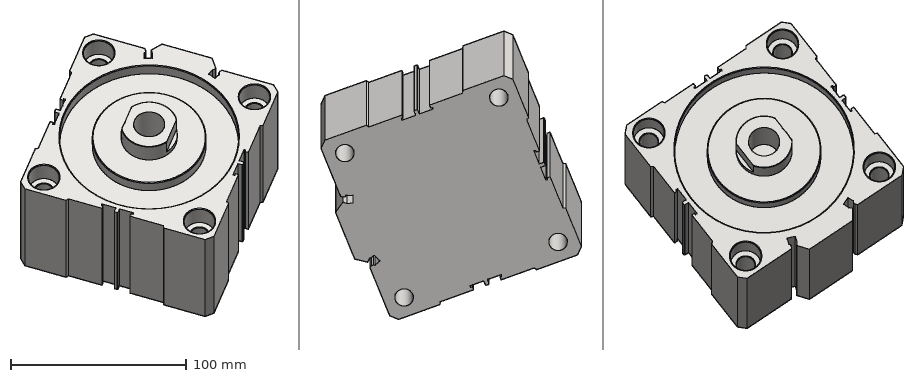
import cadquery as cq

SIDE = 117.0
HALF_SIDE = SIDE / 2
REAR_FACE_Y = 58.8
HOUSING_HEIGHT = 73.0
CORNER_CHAMFER = 4.0

TOTAL_DEPTH = 123.5
RAIL_TOP_Y = TOTAL_DEPTH - HALF_SIDE
RAIL_TOP_HALF_WIDTH = 15.2
RAIL_HALF_WIDTH = 19.6

RAIL_GROOVE_OUTLINE = [
    (RAIL_HALF_WIDTH, REAR_FACE_Y),
    (18.0, 57.0),
    (17.0, 53.7),
    (21.4, 52.0),
    (22.8, 55.6),
    (22.2, 56.2),
    (22.4, 57.5),
    (23.3, REAR_FACE_Y),
]

RELIEF_DEPTH = 1.5
RELIEF_OUTER_HALF_WIDTH = 29.5
RELIEF_INNER_HALF_WIDTH = 28.7

SLOT_DEPTH = 3.0
SLOT_MOUTH_HALF_WIDTH = 8.4
SLOT_UNDERCUT_HALF_WIDTH = 9.5
SLOT_UNDERCUT_HEIGHT = 1.0
SLOT_RIB_WIDTH = 2.2
SLOT_RIB_CHAMFER = 0.4

RECESS_RADIUS = 51.0
RECESS_DEPTH = 7.8
BOSS_RADIUS = 32.5
BOSS_TOP_DROP = 0.5
EDGE_CHAMFER = 0.5

BOLT_OFFSET = 47.0
BOLT_DIAMETER = 10.5
BOLT_CHAMFER = 0.4
COUNTERBORE_DIAMETER = 17.5
COUNTERBORE_DEPTH = 13.0

ROD_DIAMETER = 32.1
ROD_RADIUS = ROD_DIAMETER / 2
ROD_TOP_Z = 85.0
ROD_SEAT_DEPTH = 37.0
ROD_SEAT_Z = HOUSING_HEIGHT - ROD_SEAT_DEPTH
ROD_CHAMFER = 0.2
FLAT_HALF_WIDTH = 13.6
FLAT_BOTTOM_Z = 75.6
ROD_HOLE_DIAMETER = 17.7
ROD_HOLE_DEPTH = 24.7


def block():
    """Nearly square block with chamfered vertical corners."""
    return (
        cq.Workplane("XY")
        .center(0, (REAR_FACE_Y - HALF_SIDE) / 2)
        .rect(SIDE, REAR_FACE_Y + HALF_SIDE)
        .extrude(HOUSING_HEIGHT)
        .edges("|Z")
        .chamfer(CORNER_CHAMFER)
    )


def rail():
    """Dovetail rail standing proud of the +Y face."""
    return (
        cq.Workplane("XY")
        .polyline([
            (-RAIL_HALF_WIDTH, REAR_FACE_Y),
            (-RAIL_TOP_HALF_WIDTH, RAIL_TOP_Y),
            (RAIL_TOP_HALF_WIDTH, RAIL_TOP_Y),
            (RAIL_HALF_WIDTH, REAR_FACE_Y),
        ])
        .close()
        .extrude(HOUSING_HEIGHT)
    )


def rail_groove():
    """Slanted groove along the +X side of the rail, stepped on its outer wall."""
    return (
        cq.Workplane("XY")
        .polyline(RAIL_GROOVE_OUTLINE)
        .close()
        .extrude(HOUSING_HEIGHT)
    )


def face_relief():
    """Relief and T-slot cutter for the -Y face."""
    relief_y = -HALF_SIDE + RELIEF_DEPTH
    floor_y = relief_y + SLOT_DEPTH
    relief = (
        cq.Workplane("XY")
        .polyline([
            (-RELIEF_OUTER_HALF_WIDTH, -HALF_SIDE),
            (-RELIEF_INNER_HALF_WIDTH, relief_y),
            (RELIEF_INNER_HALF_WIDTH, relief_y),
            (RELIEF_OUTER_HALF_WIDTH, -HALF_SIDE),
        ])
        .close()
        .extrude(HOUSING_HEIGHT)
    )
    mouth = (
        cq.Workplane("XY")
        .center(0, floor_y - SLOT_DEPTH / 2)
        .rect(2 * SLOT_MOUTH_HALF_WIDTH, SLOT_DEPTH)
        .extrude(HOUSING_HEIGHT)
    )
    undercut = (
        cq.Workplane("XY")
        .center(0, floor_y - SLOT_UNDERCUT_HEIGHT / 2)
        .rect(2 * SLOT_UNDERCUT_HALF_WIDTH, SLOT_UNDERCUT_HEIGHT)
        .extrude(HOUSING_HEIGHT)
    )
    rib = (
        cq.Workplane("XY")
        .center(0, floor_y - SLOT_DEPTH / 2)
        .rect(SLOT_RIB_WIDTH, SLOT_DEPTH)
        .extrude(HOUSING_HEIGHT)
        .faces("<Y")
        .edges("|Z")
        .chamfer(SLOT_RIB_CHAMFER)
    )
    return relief.union(mouth.union(undercut).cut(rib))


def flared_mouth(x, y, radius, z, chamfer):
    """Cutter that chamfers the rim at height z of a round vertical hole."""
    cone = cq.Solid.makeCone(radius, radius + chamfer, chamfer, pnt=cq.Vector(x, y, z - chamfer))
    return cq.Workplane("XY").add(cone)


def top_recess():
    """Ring cutter around the boss, flared by a chamfer at the mouth."""
    well = (
        cq.Workplane("XY")
        .workplane(offset=HOUSING_HEIGHT - RECESS_DEPTH)
        .circle(RECESS_RADIUS)
        .extrude(RECESS_DEPTH)
    )
    mouth = flared_mouth(0, 0, RECESS_RADIUS, HOUSING_HEIGHT, EDGE_CHAMFER)
    boss = (
        cq.Workplane("XY")
        .workplane(offset=HOUSING_HEIGHT - RECESS_DEPTH)
        .circle(BOSS_RADIUS)
        .extrude(RECESS_DEPTH - BOSS_TOP_DROP)
        .faces(">Z")
        .chamfer(EDGE_CHAMFER)
    )
    return well.union(mouth).cut(boss)


def bolt_hole(x, y):
    """Through hole with a counterbore and chamfered rims."""
    seat_z = HOUSING_HEIGHT - COUNTERBORE_DEPTH
    through = cq.Workplane("XY").center(x, y).circle(BOLT_DIAMETER / 2).extrude(HOUSING_HEIGHT)
    counterbore = (
        cq.Workplane("XY")
        .workplane(offset=seat_z)
        .center(x, y)
        .circle(COUNTERBORE_DIAMETER / 2)
        .extrude(COUNTERBORE_DEPTH)
    )
    through_mouth = flared_mouth(x, y, BOLT_DIAMETER / 2, seat_z, BOLT_CHAMFER)
    counterbore_mouth = flared_mouth(x, y, COUNTERBORE_DIAMETER / 2, HOUSING_HEIGHT, EDGE_CHAMFER)
    return through.union(through_mouth).union(counterbore).union(counterbore_mouth)


def rod_bore():
    """Blind bore that seats the rod."""
    return (
        cq.Workplane("XY")
        .workplane(offset=ROD_SEAT_Z)
        .circle(ROD_RADIUS)
        .extrude(ROD_SEAT_DEPTH)
    )


def make_housing():
    """Housing with grooves, slots, recess, bolt holes and the rod bore."""
    housing = block().union(rail())
    groove = rail_groove()
    housing = housing.cut(groove).cut(groove.mirror("YZ"))
    for angle in (-90, 0, 90):
        housing = housing.cut(face_relief().rotate((0, 0, 0), (0, 0, 1), angle))
    housing = housing.cut(top_recess())
    for x in (-BOLT_OFFSET, BOLT_OFFSET):
        for y in (-BOLT_OFFSET, BOLT_OFFSET):
            housing = housing.cut(bolt_hole(x, y))
    return housing.cut(rod_bore())


def make_rod():
    """Round rod with two wrench flats on its end and a blind axial hole."""
    rod = (
        cq.Workplane("XY")
        .workplane(offset=ROD_SEAT_Z)
        .circle(ROD_RADIUS)
        .extrude(ROD_TOP_Z - ROD_SEAT_Z)
        .faces(">Z")
        .chamfer(ROD_CHAMFER)
    )
    flat_waste = (
        cq.Workplane("XY")
        .workplane(offset=FLAT_BOTTOM_Z)
        .rect(ROD_DIAMETER, ROD_DIAMETER)
        .rect(2 * FLAT_HALF_WIDTH, ROD_DIAMETER)
        .extrude(ROD_TOP_Z - FLAT_BOTTOM_Z)
    )
    rod = rod.cut(flat_waste)
    return rod.faces(">Z").workplane(origin=(0, 0, ROD_TOP_Z)).hole(ROD_HOLE_DIAMETER, ROD_HOLE_DEPTH)


housing = make_housing()
rod = make_rod()
result = cq.Compound.makeCompound([housing.solids().val(), rod.solids().val()])